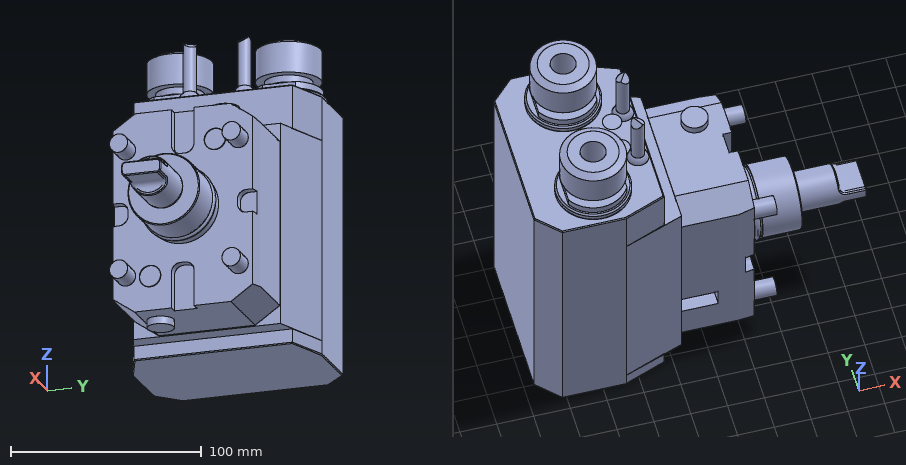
import cadquery as cq
import math

AXIS_Z = 63.5
OVERALL_LENGTH = 189.0
OVERALL_HEIGHT = 176.7

HOUSING_HEIGHT = 143.6
HOUSING_LENGTH = 70.0
HOUSING_HALF_WIDTH = 52.5
BACK_CORNER_CUT = 12.1
TAPER_START_X = 46.9
HOUSING_FRONT_HALF_WIDTH = 43.8
HOUSING_EDGE_BREAK = 0.5

FLANGE_FRONT_X = 80.1
FLANGE_HALF_HEIGHT = 55.5
FLANGE_FRONT_HALF_WIDTH = 40.6

HEAD_FRONT_X = 120.2
HEAD_TAPER_START_X = 111.3
HEAD_HALF_HEIGHT = 55.0
HEAD_HALF_WIDTH = 40.3
HEAD_FRONT_HALF_WIDTH = 38.7
HEAD_CUT_WIDTH = 13.6
HEAD_CUT_HEIGHT = 9.5

POCKET_END_X = 100.2
POCKET_Z = 41.4
POCKET_RADIUS = 5.1
POCKET_FLAT_DEPTH = 5.7

KEYWAY_WIDTH = 12.5
KEYWAY_DEPTH = 5.0
KEYWAY_REACH = 30.2
KEYWAY_CORNER_RADIUS = 5.1

BOLT_RADIUS = 5.1
BOLT_Y = 31.2
BOLT_Z_OFFSET = 35.0
BOLT_LENGTH = 13.0
PORT_Y = 18.0
PORT_Z_OFFSET = 36.1
PORT_RADIUS = 5.9
PORT_HEIGHT = 0.5
STUD_X = 103.0
STUD_RADIUS = 7.2
STUD_HEIGHT = 4.2

SPIGOT_RADIUS = 19.8
SPIGOT_END_X = 151.8
SPIGOT_EDGE_BREAK = 0.5
GROOVE_START_X = 125.7
GROOVE_END_X = 130.0
GROOVE_RADIUS = 18.9
RING_X = 127.2
RING_SECTION_RADIUS = 1.9
RING_OUTER_RADIUS = 20.6
SHAFT_RADIUS = 11.0
SHAFT_NECK_RADIUS = 10.4
SHAFT_NECK_LENGTH = 1.0
SHAFT_EDGE_BREAK = 0.5
TANG_START_X = 174.8
TANG_HALF_THICKNESS = 3.8
TANG_ROOT_RADIUS = 3.2
TANG_SIDE_BREAK = 1.0

FITTING_X = 35.0
FITTING_Y = 30.0
WASHER_RADIUS = 20.2
WASHER_HEIGHT = 4.5
WASHER_EDGE_BREAK = 1.0
NUT_RADIUS = 18.3
NUT_ACROSS_FLATS = 31.8
NUT_TOP_Z = 152.1
NECK_RADIUS = 11.7
NECK_TOP_Z = 153.7
COLLAR_RADIUS = 12.9
COLLAR_TOP_Z = 157.5
CAP_RADIUS = 17.5
CAP_TOP_RADIUS = 13.6
CAP_BEVEL_HEIGHT = 2.3
BORE_RADIUS = 6.8
BORE_DEPTH = 18.9

NOZZLE_X = 63.3
NOZZLE_Y = 15.1
NOZZLE_RADIUS = 3.5
NOZZLE_TOP_Z = 174.6
NOZZLE_POINT_DROP = 2.8
NOZZLE_RIDGE_ANGLE = 58.0
BALL_RADIUS = 5.9
BALL_CENTRE_Z = 142.7
PLUG_X = 55.8
PLUG_Y = 8.7
PLUG_RADIUS = 5.1
PLUG_HEIGHT = 2.8

JOIN_OVERLAP = 1.9


def cylinder_x(x_start, x_end, y, z, radius):
    """Cylinder along X."""
    return cq.Workplane("YZ", origin=(x_start, y, z)).circle(radius).extrude(x_end - x_start)


def cylinder_z(z_start, z_end, x, y, radius):
    """Cylinder along Z."""
    return cq.Workplane("XY", origin=(x, y, z_start)).circle(radius).extrude(z_end - z_start)


def mirrored_outline(z_bottom, half_points):
    """XY sketch from points on the +Y side and their mirror images."""
    mirror_points = [(x, -y) for x, y in reversed(half_points)]
    return cq.Workplane("XY", origin=(0, 0, z_bottom)).polyline(half_points + mirror_points).close()


def make_housing():
    outline = [
        (0, HOUSING_HALF_WIDTH - BACK_CORNER_CUT),
        (BACK_CORNER_CUT, HOUSING_HALF_WIDTH),
        (TAPER_START_X, HOUSING_HALF_WIDTH),
        (HOUSING_LENGTH, HOUSING_FRONT_HALF_WIDTH),
    ]
    block = mirrored_outline(0, outline).extrude(HOUSING_HEIGHT)
    return block.faces("<Z or >Z").edges().chamfer(HOUSING_EDGE_BREAK)


def make_flange():
    outline = [
        (TAPER_START_X, HOUSING_HALF_WIDTH),
        (FLANGE_FRONT_X, FLANGE_FRONT_HALF_WIDTH),
    ]
    return mirrored_outline(AXIS_Z - FLANGE_HALF_HEIGHT, outline).extrude(2 * FLANGE_HALF_HEIGHT)


def make_head():
    back_x = FLANGE_FRONT_X - JOIN_OVERLAP
    outline = [
        (back_x, HEAD_HALF_WIDTH),
        (HEAD_TAPER_START_X, HEAD_HALF_WIDTH),
        (HEAD_FRONT_X, HEAD_FRONT_HALF_WIDTH),
    ]
    block = mirrored_outline(AXIS_Z - HEAD_HALF_HEIGHT, outline).extrude(2 * HEAD_HALF_HEIGHT)
    flat_y = HEAD_HALF_WIDTH - HEAD_CUT_WIDTH
    flat_z = HEAD_HALF_HEIGHT - HEAD_CUT_HEIGHT
    section = [
        (flat_y, HEAD_HALF_HEIGHT), (HEAD_HALF_WIDTH, flat_z),
        (HEAD_HALF_WIDTH, -flat_z), (flat_y, -HEAD_HALF_HEIGHT),
        (-flat_y, -HEAD_HALF_HEIGHT), (-HEAD_HALF_WIDTH, -flat_z),
        (-HEAD_HALF_WIDTH, flat_z), (-flat_y, HEAD_HALF_HEIGHT),
    ]
    envelope = (
        cq.Workplane("YZ", origin=(back_x, 0, AXIS_Z))
        .polyline(section).close().extrude(HEAD_FRONT_X - back_x)
    )
    head = block.intersect(envelope)
    for angle in (0, 90, 180, 270):
        head = head.cut(make_keyway(angle))
    return head.cut(make_pocket())


def make_keyway(angle):
    """Cutter that reaches in from +Z to KEYWAY_REACH from the axis, turned about the axis."""
    height = HEAD_HALF_HEIGHT - KEYWAY_REACH + JOIN_OVERLAP
    return (
        cq.Workplane("XY", origin=(HEAD_FRONT_X, 0, AXIS_Z + KEYWAY_REACH))
        .rect(2 * KEYWAY_DEPTH, KEYWAY_WIDTH).extrude(height)
        .faces("<Z").edges("|X").fillet(KEYWAY_CORNER_RADIUS)
        .rotate((0, 0, AXIS_Z), (1, 0, AXIS_Z), angle)
    )


def make_pocket():
    """Cutter for the pocket: straight walls that end in a half round."""
    length = POCKET_END_X - FLANGE_FRONT_X
    round_y = -HEAD_HALF_WIDTH + POCKET_FLAT_DEPTH
    outer_y = -HEAD_HALF_WIDTH - JOIN_OVERLAP
    return (
        cq.Workplane("YZ", origin=(FLANGE_FRONT_X, 0, POCKET_Z))
        .moveTo(outer_y, -POCKET_RADIUS)
        .lineTo(round_y, -POCKET_RADIUS)
        .threePointArc((round_y + POCKET_RADIUS, 0), (round_y, POCKET_RADIUS))
        .lineTo(outer_y, POCKET_RADIUS)
        .close().extrude(length)
    )


def make_bolts_and_ports():
    """Four bolts, with a port and a stud at the upper +Y and the lower -Y corner."""
    face_x = HEAD_FRONT_X - JOIN_OVERLAP
    parts = cq.Workplane("XY")
    for y_sign in (-1, 1):
        for z_sign in (-1, 1):
            bolt_y = y_sign * BOLT_Y
            bolt_z = AXIS_Z + z_sign * BOLT_Z_OFFSET
            bolt_end_x = HEAD_FRONT_X + BOLT_LENGTH
            parts = parts.add(cylinder_x(face_x, bolt_end_x, bolt_y, bolt_z, BOLT_RADIUS))
    for sign in (-1, 1):
        y = sign * PORT_Y
        port_z = AXIS_Z + sign * PORT_Z_OFFSET
        stud_base_z = AXIS_Z + sign * (HEAD_HALF_HEIGHT - JOIN_OVERLAP)
        stud_end_z = AXIS_Z + sign * (HEAD_HALF_HEIGHT + STUD_HEIGHT)
        parts = parts.add(cylinder_x(face_x, HEAD_FRONT_X + PORT_HEIGHT, y, port_z, PORT_RADIUS))
        parts = parts.add(cylinder_z(stud_base_z, stud_end_z, STUD_X, y, STUD_RADIUS))
    return parts.combine()


def make_spindle():
    spigot = cylinder_x(HEAD_FRONT_X - JOIN_OVERLAP, SPIGOT_END_X, 0, AXIS_Z, SPIGOT_RADIUS)
    spigot = spigot.faces(">X").edges().chamfer(SPIGOT_EDGE_BREAK)
    groove = (
        cq.Workplane("YZ", origin=(GROOVE_START_X, 0, AXIS_Z))
        .circle(SPIGOT_RADIUS + JOIN_OVERLAP).circle(GROOVE_RADIUS)
        .extrude(GROOVE_END_X - GROOVE_START_X)
    )
    ring_centre_radius = RING_OUTER_RADIUS - RING_SECTION_RADIUS
    ring = cq.Workplane(cq.Solid.makeTorus(
        ring_centre_radius, RING_SECTION_RADIUS,
        cq.Vector(RING_X, 0, AXIS_Z), cq.Vector(1, 0, 0),
    ))
    neck_end_x = SPIGOT_END_X + SHAFT_NECK_LENGTH
    neck = cylinder_x(SPIGOT_END_X - JOIN_OVERLAP, neck_end_x, 0, AXIS_Z, SHAFT_NECK_RADIUS)
    return spigot.cut(groove).union(ring).union(neck).union(make_shaft(neck_end_x))


def make_shaft(start_x):
    """Shaft whose end is milled away above and below to leave the tang."""
    shaft = cylinder_x(start_x, OVERALL_LENGTH, 0, AXIS_Z, SHAFT_RADIUS)
    root_z = TANG_HALF_THICKNESS + TANG_ROOT_RADIUS
    root_x = TANG_START_X + TANG_ROOT_RADIUS
    arc_reach = TANG_ROOT_RADIUS * (1 - math.sqrt(0.5))
    upper_cut = (
        cq.Workplane("XZ", origin=(0, SHAFT_RADIUS, AXIS_Z))
        .moveTo(TANG_START_X, SHAFT_RADIUS).lineTo(TANG_START_X, root_z)
        .threePointArc(
            (TANG_START_X + arc_reach, TANG_HALF_THICKNESS + arc_reach),
            (root_x, TANG_HALF_THICKNESS),
        )
        .lineTo(OVERALL_LENGTH, TANG_HALF_THICKNESS).lineTo(OVERALL_LENGTH, SHAFT_RADIUS)
        .close().extrude(2 * SHAFT_RADIUS)
    )
    lower_cut = upper_cut.mirror("XY", (0, 0, AXIS_Z))
    shaft = shaft.cut(upper_cut).cut(lower_cut)
    shaft = shaft.edges("|X").edges("<Z or >Z").chamfer(TANG_SIDE_BREAK)
    shaft = shaft.faces(">X").edges().chamfer(SHAFT_EDGE_BREAK)
    shoulders = shaft.faces("+X").faces("<Z or >Z")
    return shoulders.edges("%CIRCLE").chamfer(SHAFT_EDGE_BREAK)


def make_fitting(y):
    """Hose fitting: washer, round nut with two flats, stepped neck and a bored cap."""
    base_z = HOUSING_HEIGHT - JOIN_OVERLAP
    washer_top_z = HOUSING_HEIGHT + WASHER_HEIGHT
    cap_edge_z = OVERALL_HEIGHT - CAP_BEVEL_HEIGHT
    washer_lower_z = HOUSING_HEIGHT + WASHER_EDGE_BREAK
    washer_rim = WASHER_RADIUS - WASHER_EDGE_BREAK
    profile = [
        (0, base_z), (washer_rim, base_z),
        (washer_rim, washer_lower_z), (WASHER_RADIUS, washer_lower_z),
        (WASHER_RADIUS, washer_top_z - WASHER_EDGE_BREAK), (washer_rim, washer_top_z),
        (NECK_RADIUS, washer_top_z), (NECK_RADIUS, NECK_TOP_Z),
        (COLLAR_RADIUS, NECK_TOP_Z), (COLLAR_RADIUS, COLLAR_TOP_Z),
        (CAP_RADIUS, COLLAR_TOP_Z), (CAP_RADIUS, cap_edge_z),
        (CAP_TOP_RADIUS, OVERALL_HEIGHT), (0, OVERALL_HEIGHT),
    ]
    turned = (
        cq.Workplane("XZ").polyline(profile).close()
        .revolve(360, (0, 0, 0), (0, 1, 0)).translate((FITTING_X, y, 0))
    )
    nut = cylinder_z(washer_top_z, NUT_TOP_Z, FITTING_X, y, NUT_RADIUS)
    flats = (
        cq.Workplane("XY", origin=(FITTING_X, y, washer_top_z))
        .rect(NUT_ACROSS_FLATS, 2 * NUT_RADIUS).extrude(NUT_TOP_Z - washer_top_z)
    )
    bore = cylinder_z(OVERALL_HEIGHT - BORE_DEPTH, OVERALL_HEIGHT, FITTING_X, y, BORE_RADIUS)
    return turned.union(nut.intersect(flats)).cut(bore)


def make_nozzle(side):
    """Nozzle with a roof-shaped point, its ball seat and the flared plug next to it."""
    centre = (NOZZLE_X, side * NOZZLE_Y, 0)
    shoulder_z = NOZZLE_TOP_Z - NOZZLE_POINT_DROP
    roof = (
        cq.Workplane("YZ", origin=(-NOZZLE_RADIUS, 0, 0))
        .polyline([
            (-NOZZLE_RADIUS, HOUSING_HEIGHT), (NOZZLE_RADIUS, HOUSING_HEIGHT),
            (NOZZLE_RADIUS, shoulder_z), (0, NOZZLE_TOP_Z), (-NOZZLE_RADIUS, shoulder_z),
        ])
        .close().extrude(2 * NOZZLE_RADIUS)
        .rotate((0, 0, 0), (0, 0, 1), side * NOZZLE_RIDGE_ANGLE)
    )
    pin = cylinder_z(HOUSING_HEIGHT, NOZZLE_TOP_Z, 0, 0, NOZZLE_RADIUS).intersect(roof)
    ball = cq.Workplane("XY").sphere(BALL_RADIUS).translate((0, 0, BALL_CENTRE_Z))
    plug = cq.Workplane(cq.Solid.makeCone(
        PLUG_RADIUS - PLUG_HEIGHT, PLUG_RADIUS, PLUG_HEIGHT,
        cq.Vector(PLUG_X, side * PLUG_Y, HOUSING_HEIGHT),
    ))
    return pin.union(ball).translate(centre).union(plug)


result = make_housing().union(make_flange()).union(make_head())
result = result.union(make_bolts_and_ports()).union(make_spindle())
for side in (-1, 1):
    result = result.union(make_fitting(side * FITTING_Y)).union(make_nozzle(side))